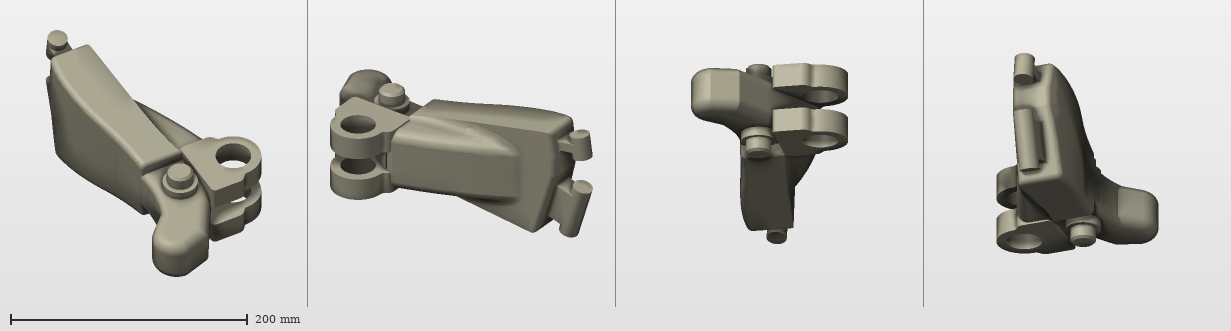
import cadquery as cq
import math


BLADE_LEFT = -168.0
BLADE_RIGHT = -28.0
BLADE_RIGHT_HALF_HEIGHT = 30.2
BLADE_TOP_CORNER = (-163.2, 52.2)
BLADE_BOTTOM_CORNER = (-149.7, -52.2)
BLADE_LEFT_FLAT_Z = (9.0, 27.0)
BLADE_BACK_LEFT_Y = -2.0
BLADE_BACK_RIGHT_Y = 11.2
BLADE_FRONT_CURVE = [(BLADE_LEFT, -34.5), (-143, -40.8), (-90.7, -34.5), (BLADE_RIGHT, -21.8)]
BLADE_FRONT_START_DIRECTION = (1, -0.65)
BLADE_FRONT_END_DIRECTION = (1, 0.12)
BLADE_DEPTH_LIMIT = 104
BLADE_HEIGHT_LIMIT = 156
BLADE_ROUND = 5.2
BLADE_END_ROUND = 4.0

RIB_HALF_HEIGHT = 28.5
RIB_OUTER_START = (-136.2, 0)
RIB_OUTER_MIDDLE = (-79.0, 28.9)
RIB_TOP_Y = 45.5
RIB_END_X = -28.0
RIB_BURIED_Y = -7.8
RIB_ROUND = 10.1
RIB_ROOT_ROUND = 10.0

BLADE_LEFT_REGION = ((-171.5, -52, -65), (-148.2, 13, 65))
BLADE_END_REGION = ((-31.2, -52, -39), (-26, 0, 39))
RIB_ROOT_REGION = ((-145.5, -0.3, -31.2), (-28.5, 9.0, 31.2))

LUG_LEFT = -33.0
LUG_RIGHT = 27.3
LUG_BOTTOM = 17.0
LUG_SHOULDER_Y = 50.0
LUG_INNER_Z = 10.1
LUG_OUTER_Z = 30.2
LUG_CORNER_ROUND = 4.0
LUG_SHOULDER_ROUND = 7.8
LUG_GAP_SPAN = 520
EYE_CENTER = ((LUG_LEFT + LUG_RIGHT) / 2, 52.5)
EYE_RADIUS = 23.7
EYE_HOLE_RADIUS = 15.0
EYE_NECK_ROUND = 4.7
EYE_NECK_REACH = 1.3

ARM_HALF_HEIGHT = 19.8
BRIDGE_FRONT_START = (-33.0, -22.4)
BRIDGE_FRONT_MIDDLE = (-10.5, -21.3)
BRIDGE_FRONT_END = (25.5, -30.5)
BRIDGE_BACK_RIGHT = (18.2, 5.2)
BRIDGE_BACK_LEFT = (-33.0, 31.2)
BRIDGE_ROUND = 5.5
HEAD_CENTER = (45.5, -28.0)
HEAD_RADIUS = 20.8
HEAD_UPPER_CORNER = (58.2, -4.5)
HEAD_FLANK_ANGLE = -135
HEAD_FLANK_RUN = 26
HEAD_BACK_PEAK = (-26.5, 45.5)
HEAD_ROUND = 10.0
HEAD_RIM_REGION = ((10.5, -104, -52), (104, 104, 52))

COLLAR_RADIUS = 14.95
COLLAR_HALF_HEIGHT = 27.3
PIN_RADIUS = 11.0
PIN_HALF_HEIGHT = 39.3
PIN_CHAMFER = 2.0

BARREL_RADIUS = 8.5
BARREL_Y = -19.8
NECK_ROOT_ROUND = 2.3
UPPER_BARREL = dict(
    center=(-183.5, 38.5),
    tilt=8.3,
    length=21.3,
    neck_height=8.0,
    neck_length=23.5,
    root_region=((-168.0, -31.2, 31.2), (-164.5, -10.5, 41.5)),
)
LOWER_BARREL = dict(
    center=(-178.0, -26),
    tilt=-17,
    length=50.7,
    neck_height=34.0,
    neck_length=31.2,
    root_region=((-164.8, -31.2, -39), (-153.5, -10.5, -2.5)),
)


def plate(outline, half_height):
    """Extrude a closed XY outline symmetrically about mid-height."""
    return outline.extrude(2 * half_height).translate((0, 0, -half_height))


def make_blade():
    silhouette = (
        cq.Workplane("XZ")
        .polyline([
            (BLADE_RIGHT, BLADE_RIGHT_HALF_HEIGHT),
            BLADE_TOP_CORNER,
            (BLADE_LEFT, BLADE_LEFT_FLAT_Z[1]),
            (BLADE_LEFT, BLADE_LEFT_FLAT_Z[0]),
            BLADE_BOTTOM_CORNER,
            (BLADE_RIGHT, -BLADE_RIGHT_HALF_HEIGHT),
        ])
        .close()
        .extrude(BLADE_DEPTH_LIMIT, both=True)
    )
    profile = (
        cq.Workplane("XY")
        .moveTo(*BLADE_FRONT_CURVE[0])
        .spline(BLADE_FRONT_CURVE[1:], includeCurrent=True,
                tangents=[BLADE_FRONT_START_DIRECTION, BLADE_FRONT_END_DIRECTION])
        .lineTo(BLADE_RIGHT, BLADE_BACK_RIGHT_Y)
        .lineTo(BLADE_LEFT, BLADE_BACK_LEFT_Y)
        .close()
    )
    blade = silhouette.intersect(plate(profile, BLADE_HEIGHT_LIMIT))
    corner_edges = blade.edges("|Y").edges(">Z or <Z")
    left_rim = blade.edges(cq.selectors.BoxSelector(*BLADE_LEFT_REGION)).edges("not |Y")
    front_rim = blade.faces("<Y").edges("not >X")
    return corner_edges.add(left_rim).add(front_rim).fillet(BLADE_ROUND)


def make_rib():
    outline = (
        cq.Workplane("XY")
        .moveTo(*RIB_OUTER_START)
        .threePointArc(RIB_OUTER_MIDDLE, (LUG_LEFT, RIB_TOP_Y))
        .lineTo(RIB_END_X, RIB_TOP_Y)
        .lineTo(RIB_END_X, 0)
        .lineTo(RIB_OUTER_START[0], RIB_BURIED_Y)
        .close()
    )
    return plate(outline, RIB_HALF_HEIGHT).edges("%CIRCLE").fillet(RIB_ROUND)


def make_handle():
    """Join blade and rib, blend the rib root and round the free right end of the blade."""
    handle = make_blade().union(make_rib())
    handle = handle.edges(cq.selectors.BoxSelector(*RIB_ROOT_REGION)).fillet(RIB_ROOT_ROUND)
    end_edges = handle.faces(">X").edges(cq.selectors.BoxSelector(*BLADE_END_REGION))
    return end_edges.fillet(BLADE_END_ROUND)


def make_lugs():
    body = (
        cq.Workplane("XY")
        .moveTo(LUG_LEFT, LUG_BOTTOM)
        .lineTo(LUG_RIGHT, LUG_BOTTOM)
        .lineTo(LUG_RIGHT, LUG_SHOULDER_Y)
        .lineTo(LUG_LEFT, LUG_SHOULDER_Y)
        .close()
    )
    block = plate(body, LUG_OUTER_Z)
    block = block.edges("|Z and <Y").fillet(LUG_CORNER_ROUND)
    block = block.edges("|Z and >Y").fillet(LUG_SHOULDER_ROUND)
    eye = plate(cq.Workplane("XY").center(*EYE_CENTER).circle(EYE_RADIUS), LUG_OUTER_Z)
    hole = plate(cq.Workplane("XY").center(*EYE_CENTER).circle(EYE_HOLE_RADIUS), LUG_OUTER_Z)
    gap = plate(cq.Workplane("XY").rect(LUG_GAP_SPAN, LUG_GAP_SPAN), LUG_INNER_Z)
    lugs = block.union(eye)
    neck_region = cq.selectors.BoxSelector(
        (LUG_LEFT, LUG_SHOULDER_Y - EYE_NECK_REACH, -2.5),
        (LUG_RIGHT, LUG_SHOULDER_Y + EYE_NECK_REACH, 2.5),
    )
    lugs = lugs.edges("|Z").edges(neck_region).fillet(EYE_NECK_ROUND)
    return lugs.cut(hole).cut(gap)


def make_bridge():
    outline = (
        cq.Workplane("XY")
        .moveTo(*BRIDGE_FRONT_START)
        .threePointArc(BRIDGE_FRONT_MIDDLE, BRIDGE_FRONT_END)
        .lineTo(*BRIDGE_BACK_RIGHT)
        .lineTo(*BRIDGE_BACK_LEFT)
        .close()
    )
    return plate(outline, ARM_HALF_HEIGHT).edges("%CIRCLE").fillet(BRIDGE_ROUND)


def make_head():
    """Rounded head whose straight flank runs on into the bridge."""
    right_point = (HEAD_CENTER[0] + HEAD_RADIUS, HEAD_CENTER[1])
    bottom_point = (HEAD_CENTER[0], HEAD_CENTER[1] - HEAD_RADIUS)
    flank_angle = math.radians(HEAD_FLANK_ANGLE)
    flank_point = (
        HEAD_CENTER[0] + HEAD_RADIUS * math.cos(flank_angle),
        HEAD_CENTER[1] + HEAD_RADIUS * math.sin(flank_angle),
    )
    flank_start = (flank_point[0] - HEAD_FLANK_RUN, flank_point[1] + HEAD_FLANK_RUN)
    outline = (
        cq.Workplane("XY")
        .moveTo(*flank_start)
        .lineTo(*flank_point)
        .threePointArc(bottom_point, right_point)
        .lineTo(*HEAD_UPPER_CORNER)
        .lineTo(*HEAD_BACK_PEAK)
        .close()
    )
    head = plate(outline, ARM_HALF_HEIGHT)
    rim = head.edges("#Z").edges(cq.selectors.BoxSelector(*HEAD_RIM_REGION))
    return rim.fillet(HEAD_ROUND)


def make_pin():
    pin = plate(cq.Workplane("XY").circle(PIN_RADIUS), PIN_HALF_HEIGHT)
    pin = pin.faces("<Z or >Z").chamfer(PIN_CHAMFER)
    return pin.union(plate(cq.Workplane("XY").circle(COLLAR_RADIUS), COLLAR_HALF_HEIGHT))


def attach_barrel(body, center, tilt, length, neck_height, neck_length, root_region):
    """Add a barrel along Z with its neck toward +X, tilted in the XZ plane, and blend the neck into the body."""
    barrel = plate(cq.Workplane("XY").circle(BARREL_RADIUS), length / 2)
    neck = cq.Workplane("XY").box(neck_length, 2 * BARREL_RADIUS, neck_height, centered=(False, True, True))
    hinge = (
        barrel.union(neck)
        .rotate((0, 0, 0), (0, 1, 0), tilt)
        .translate((center[0], BARREL_Y, center[1]))
    )
    joined = body.union(hinge)
    return joined.edges(cq.selectors.BoxSelector(*root_region)).fillet(NECK_ROOT_ROUND)


result = make_handle()
for barrel in (UPPER_BARREL, LOWER_BARREL):
    result = attach_barrel(result, **barrel)
result = result.union(make_bridge()).union(make_head()).union(make_lugs()).union(make_pin())